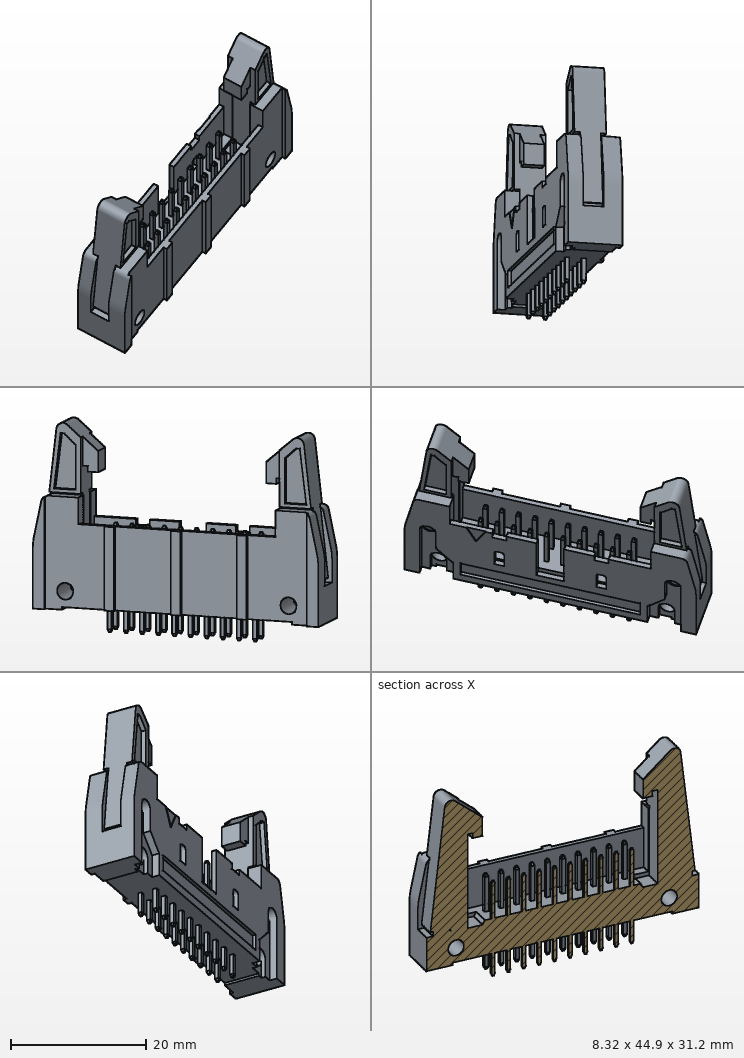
import cadquery as cq
import math


LENGTH = 44.9
HALF_LENGTH = LENGTH / 2
BODY_DEPTH = 7.72
MID_X = BODY_DEPTH / 2
SHROUD_TOP = 13.0
TOWER_TOP = 17.0
TOWER_INNER_Y = 15.5
TOWER_LEAN = 12.0
TOWER_BEND_Z = 10.0
TOWER_BEND_RADIUS = 9.0
TOWER_CORNER_RADIUS = 1.0
FOOT_INNER_Y = 18.1
FOOT_HEIGHT = 0.4

REAR_PROJECTION = 0.6
END_PLATE_INNER_Y = 20.65
KEY_RIB_WIDTH = 1.5
KEY_RIB_SPACING = 10.4

WALL = 0.8
FLOOR_Z = 6.38
KEYWAY_WIDTH = 4.2
KEYWAY_BOTTOM = 5.55
OPENING_Y = 7.85
NOTCH_WIDTH = 2.2
NOTCH_DEPTH = 0.95
WINDOW_WIDTH = 1.53
WINDOW_BOTTOM = 5.95
WINDOW_TOP = 9.0
WINDOW_RADIUS = 0.55

PANEL_LENGTH = 27.65
PANEL_BOTTOM = 1.75
PANEL_HEIGHT = 2.6
PANEL_DEPTH = 0.55
MARK_WIDTH = 2.95
MARK_HEIGHT = 2.75
MARK_DEPTH = 0.1

ROUND_DIAMETER = 2.5
PIVOT_Y = 18.85
PIVOT_Z = 10.0
PIVOT_DEPTH = 0.2
RECESS_DEPTH = 1.2
RECESS_INNER_Y = 14.95
RECESS_RAMP_TOP = 6.6
RECESS_RAMP_BOTTOM = 4.1
MOUNT_Y = 17.55
MOUNT_Z = 2.85
MOUNT_SLOT_DEPTH = 0.67

SLOT_WIDTH = 3.15
SLOT_BOTTOM = 5.7
SLOT_INNER_Y = 12.85
SLOT_RAMP_RUN = 0.4
LATCH_TOP = 27.85
LATCH_WIDTH = 4.85
LATCH_INNER_Y = 15.63
LATCH_HEAD_BOTTOM = 17.35
LATCH_LEAN = 6.6
ROOF_PITCH = 40.0
CROWN_RADIUS = 1.1
CROWN_Y = 18.4
STEM_UNDERCUT = 0.45
HOOK_TIP_Y = 13.2
HOOK_HEEL_Y = 14.8
HOOK_BOTTOM = 20.55
HOOK_STEP_Z = 21.4
GRIP_DEPTH = 0.75
GRIP_BOTTOM = 17.85
GRIP_TOP = 26.25
GRIP_INNER_Y = 16.45
GRIP_SHOULDER_Z = 24.65
GRIP_TOP_INNER_Y = 18.25
GRIP_TOP_OUTER_Y = 18.8
GRIP_BOTTOM_OUTER_Y = 19.85

PIN_COLUMNS = 10
PIN_ROW_LENGTH = 22.85
PIN_PITCH = PIN_ROW_LENGTH / (PIN_COLUMNS - 1)
PIN_SIZE = 0.65
PIN_TIP_SIZE = 0.25
PIN_TIP_LENGTH = 0.45
PIN_BOTTOM = -3.35
PIN_TOP = 12.65


def side_plane(x):
    """Sketch plane at depth x: local x is Y, local y is Z, and extrusion runs toward +X."""
    return cq.Workplane("YZ", origin=(x, 0, 0))


def block(x_range, y_range, z_range):
    """Box between pairs of limits."""
    sizes = [high - low for low, high in (x_range, y_range, z_range)]
    corner = (x_range[0], y_range[0], z_range[0])
    return cq.Workplane("XY", origin=corner).box(*sizes, centered=False)


def both_ends(shape):
    """Shape at the +Y end together with its mirror image at the -Y end."""
    return shape.union(shape.mirror("XZ"))


def end_tower(x_start, depth):
    """End tower with its leaning outer face, from the middle of the body to +Y."""
    tower_top_y = HALF_LENGTH - (TOWER_TOP - TOWER_BEND_Z) * math.tan(math.radians(TOWER_LEAN))
    tower = (
        side_plane(x_start)
        .polyline([
            (0, FOOT_HEIGHT), (FOOT_INNER_Y, FOOT_HEIGHT), (FOOT_INNER_Y, 0), (HALF_LENGTH, 0),
            (HALF_LENGTH, TOWER_BEND_Z), (tower_top_y, TOWER_TOP), (TOWER_INNER_Y, TOWER_TOP),
            (TOWER_INNER_Y, SHROUD_TOP), (0, SHROUD_TOP),
        ])
        .close()
        .extrude(depth)
    )
    bend = cq.selectors.NearestToPointSelector((x_start + depth / 2, HALF_LENGTH, TOWER_BEND_Z))
    corner = cq.selectors.NearestToPointSelector((x_start + depth / 2, tower_top_y, TOWER_TOP))
    return tower.edges(bend).fillet(TOWER_BEND_RADIUS).edges(corner).fillet(TOWER_CORNER_RADIUS)


def make_body():
    """Solid envelope with the end plates and key ribs on its +X side."""
    full_depth = BODY_DEPTH + REAR_PROJECTION
    rear = (BODY_DEPTH, full_depth)
    plate_zone = block(rear, (END_PLATE_INNER_Y, HALF_LENGTH), (0, TOWER_TOP))
    plate = end_tower(0, full_depth).intersect(plate_zone)
    body = both_ends(end_tower(0, BODY_DEPTH).union(plate))
    for y in (-KEY_RIB_SPACING, 0, KEY_RIB_SPACING):
        rib_y = (y - KEY_RIB_WIDTH / 2, y + KEY_RIB_WIDTH / 2)
        body = body.union(block((MID_X, full_depth), rib_y, (FOOT_HEIGHT, SHROUD_TOP)))
    return body


def cut_cavity(body):
    """Open the shroud, then cut the keyway, notches and windows through its -X wall."""
    cavity = block((WALL, BODY_DEPTH - WALL), (-TOWER_INNER_Y, TOWER_INNER_Y), (FLOOR_Z, SHROUD_TOP))
    keyway = block((0, WALL), (-KEYWAY_WIDTH / 2, KEYWAY_WIDTH / 2), (KEYWAY_BOTTOM, SHROUD_TOP))
    notch_y = (OPENING_Y - NOTCH_WIDTH / 2, OPENING_Y + NOTCH_WIDTH / 2)
    notch = block((0, WALL), notch_y, (SHROUD_TOP - NOTCH_DEPTH, SHROUD_TOP))
    window_y = (OPENING_Y - WINDOW_WIDTH / 2, OPENING_Y + WINDOW_WIDTH / 2)
    window = block((0, WALL), window_y, (WINDOW_BOTTOM, WINDOW_TOP))
    window = window.edges("|X and >Z").fillet(WINDOW_RADIUS)
    return body.cut(cavity).cut(keyway).cut(both_ends(notch)).cut(both_ends(window))


def cut_face_details(body):
    """Sink the long panel and the pin-one triangle into the -X face."""
    panel_z = (PANEL_BOTTOM, PANEL_BOTTOM + PANEL_HEIGHT)
    panel = block((0, PANEL_DEPTH), (-PANEL_LENGTH / 2, PANEL_LENGTH / 2), panel_z)
    mark_y = PIN_ROW_LENGTH / 2
    mark = (
        side_plane(0)
        .polyline([
            (mark_y - MARK_WIDTH / 2, SHROUD_TOP), (mark_y + MARK_WIDTH / 2, SHROUD_TOP),
            (mark_y, SHROUD_TOP - MARK_HEIGHT),
        ])
        .close()
        .extrude(MARK_DEPTH)
    )
    return body.cut(panel).cut(mark)


def cut_end_recesses(body):
    """Cut the stepped recess, pivot pocket and mounting hole at each end."""
    radius = ROUND_DIAMETER / 2
    pivot_inner_y = PIVOT_Y - radius
    recess = (
        side_plane(0)
        .moveTo(PIVOT_Y + radius, 0)
        .lineTo(PIVOT_Y + radius, PIVOT_Z)
        .threePointArc((PIVOT_Y, PIVOT_Z + radius), (pivot_inner_y, PIVOT_Z))
        .lineTo(pivot_inner_y, RECESS_RAMP_TOP)
        .lineTo(RECESS_INNER_Y, RECESS_RAMP_BOTTOM)
        .lineTo(RECESS_INNER_Y, 0)
        .close()
        .extrude(RECESS_DEPTH)
    )
    pivot = side_plane(0).center(PIVOT_Y, PIVOT_Z).circle(radius).extrude(RECESS_DEPTH + PIVOT_DEPTH)
    hole = side_plane(0).center(MOUNT_Y, MOUNT_Z).circle(radius).extrude(BODY_DEPTH)
    slot = block((0, RECESS_DEPTH + MOUNT_SLOT_DEPTH), (MOUNT_Y - radius, MOUNT_Y + radius), (0, MOUNT_Z))
    return body.cut(both_ends(recess.union(pivot).union(slot).union(hole)))


def cut_latch_slots(body):
    """Cut the slot that holds each latch; its inner end ramps up to the cavity floor."""
    slot = (
        side_plane(MID_X - SLOT_WIDTH / 2)
        .polyline([
            (SLOT_INNER_Y, FLOOR_Z), (SLOT_INNER_Y + SLOT_RAMP_RUN, SLOT_BOTTOM),
            (HALF_LENGTH, SLOT_BOTTOM), (HALF_LENGTH, TOWER_TOP), (SLOT_INNER_Y, TOWER_TOP),
        ])
        .close()
        .extrude(SLOT_WIDTH)
    )
    return body.cut(both_ends(slot))


def make_latch():
    """Latch of the +Y end: narrow stem and hook, with a wide head above the tower."""
    lean = math.radians(LATCH_LEAN)
    pitch = math.radians(ROOF_PITCH)
    crown_z = LATCH_TOP - CROWN_RADIUS

    outer_y = CROWN_Y + CROWN_RADIUS * math.cos(lean)
    outer_z = crown_z + CROWN_RADIUS * math.sin(lean)
    roof_y = CROWN_Y - CROWN_RADIUS * math.sin(pitch)
    roof_z = crown_z + CROWN_RADIUS * math.cos(pitch)
    tip_z = roof_z - (roof_y - HOOK_TIP_Y) * math.tan(pitch)
    stem_outer_y = outer_y + (outer_z - FLOOR_Z) * math.tan(lean)

    def profile(width):
        return (
            side_plane(MID_X - width / 2)
            .moveTo(stem_outer_y - STEM_UNDERCUT, SLOT_BOTTOM)
            .lineTo(stem_outer_y - STEM_UNDERCUT, FLOOR_Z)
            .lineTo(stem_outer_y, FLOOR_Z)
            .lineTo(outer_y, outer_z)
            .threePointArc((CROWN_Y, LATCH_TOP), (roof_y, roof_z))
            .lineTo(HOOK_TIP_Y, tip_z)
            .lineTo(HOOK_TIP_Y, HOOK_BOTTOM)
            .lineTo(HOOK_HEEL_Y, HOOK_BOTTOM)
            .lineTo(HOOK_HEEL_Y, HOOK_STEP_Z)
            .lineTo(LATCH_INNER_Y, HOOK_STEP_Z)
            .lineTo(LATCH_INNER_Y, SLOT_BOTTOM)
            .close()
            .extrude(width)
        )

    head_x = (MID_X - LATCH_WIDTH / 2, MID_X + LATCH_WIDTH / 2)
    head_zone = block(head_x, (LATCH_INNER_Y, HALF_LENGTH), (LATCH_HEAD_BOTTOM, LATCH_TOP))
    latch = profile(SLOT_WIDTH).union(profile(LATCH_WIDTH).intersect(head_zone))
    for grip_x in (head_x[0], head_x[1] - GRIP_DEPTH):
        grip = (
            side_plane(grip_x)
            .polyline([
                (GRIP_INNER_Y, GRIP_BOTTOM), (GRIP_BOTTOM_OUTER_Y, GRIP_BOTTOM),
                (GRIP_TOP_OUTER_Y, GRIP_TOP), (GRIP_TOP_INNER_Y, GRIP_TOP),
                (GRIP_INNER_Y, GRIP_SHOULDER_Z),
            ])
            .close()
            .extrude(GRIP_DEPTH)
        )
        latch = latch.cut(grip)
    return latch


def pin_tip(base_z, end_z):
    """Tapered end of a pin on the Z axis."""
    return (
        cq.Workplane("XY", origin=(0, 0, base_z))
        .rect(PIN_SIZE, PIN_SIZE)
        .workplane(offset=end_z - base_z)
        .rect(PIN_TIP_SIZE, PIN_TIP_SIZE)
        .loft()
    )


def make_pin():
    """Square pin on the Z axis, tapered at both ends."""
    shank_bottom = PIN_BOTTOM + PIN_TIP_LENGTH
    shank_top = PIN_TOP - PIN_TIP_LENGTH
    half = PIN_SIZE / 2
    shank = block((-half, half), (-half, half), (shank_bottom, shank_top))
    return shank.union(pin_tip(shank_bottom, PIN_BOTTOM)).union(pin_tip(shank_top, PIN_TOP))


def add_pins(body):
    """Place the two rows of pins through the cavity floor."""
    pin = make_pin()
    for row in (-0.5, 0.5):
        for column in range(PIN_COLUMNS):
            y = column * PIN_PITCH - PIN_ROW_LENGTH / 2
            body = body.union(pin.translate((MID_X + row * PIN_PITCH, y, 0)))
    return body


housing = cut_cavity(make_body())
housing = cut_face_details(housing)
housing = cut_end_recesses(housing)
housing = cut_latch_slots(housing)
housing = housing.union(both_ends(make_latch()))
result = add_pins(housing)